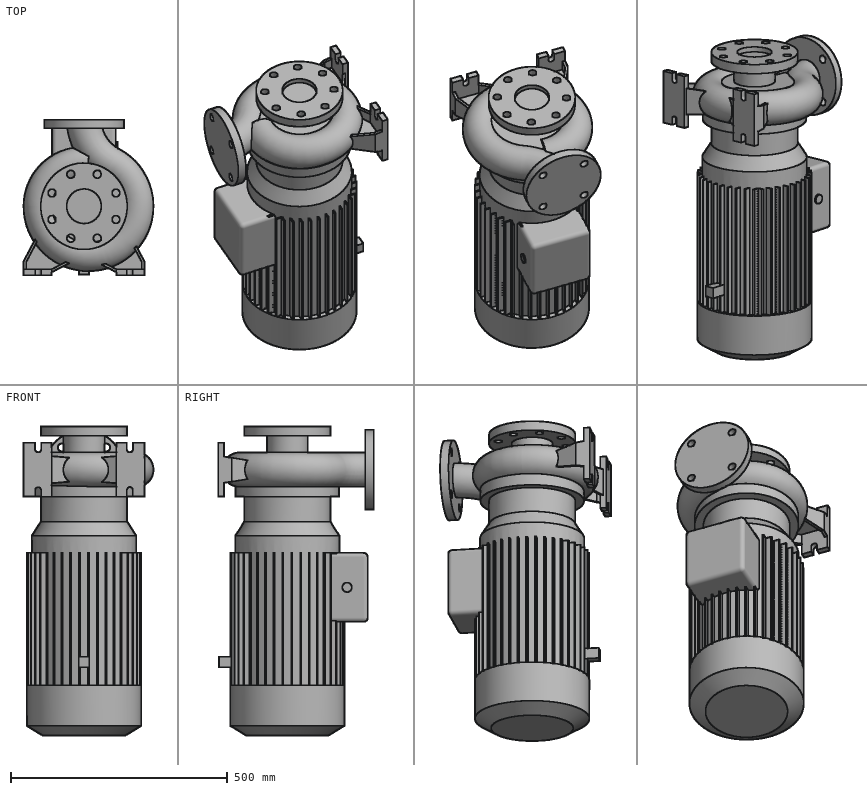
import cadquery as cq
import math


SUCTION_TOP = 100
SUCTION_FLANGE_D = 200
SUCTION_FLANGE_T = 22
SUCTION_BORE_D = 80
SUCTION_BORE_DEPTH = 12
SUCTION_BOLT_CIRCLE_D = 160
SUCTION_BOLTS = 8
SUCTION_NECK_D = 95
BOLT_HOLE_D = 18

DISCHARGE_FACE_Y = 200
DISCHARGE_FLANGE_D = 185
DISCHARGE_FLANGE_T = 20
DISCHARGE_BOLT_CIRCLE_D = 145
DISCHARGE_BOLTS = 4

TUBE_R = 40
COIL_REACH_LEFT = 100
COIL_REACH_RIGHT = 120.87
COIL_R = (COIL_REACH_LEFT + COIL_REACH_RIGHT) / 2
COIL_OFFSET = COIL_REACH_RIGHT - COIL_R
TONGUE_COIL_R = 97
TONGUE_ANGLE = 97

INNER_PLATE_R = 100
BACKPLATE_R = 120
LANTERN_R = 100
MOTOR_CORE_R = 121
FIN_TIP_R = 132.5
COWL_END_R = 95
INNER_PLATE_TOP = 30
BACKPLATE_BOTTOM = -62
LANTERN_BOTTOM = -120
CONE_BOTTOM = -153
FINS_TOP = -192
FINS_BOTTOM = -498
COWL_EDGE = -592
MOTOR_BOTTOM = -615

FINS_PER_GROUP = 10
FIN_GROUPS = 4
FIN_T = 3
FIN_GROUP_ANGLE = 360 / FIN_GROUPS
FIN_PITCH_ANGLE = FIN_GROUP_ANGLE / FINS_PER_GROUP

BOX_WIDTH = 148
BOX_HEIGHT = 160
BOX_FACE_Y = 186
BOX_EDGE_R = 10
GLAND_D = 22
GLAND_LENGTH = 3.5
GLAND_Y = 138

LUG_WIDTH = 24
LUG_HEIGHT = 25
LUG_TOP = -432
LUG_END_Y = -158

FOOT_BASE_Y = -160
FOOT_OUTER_X = 140
FOOT_WIDTH = 65
FOOT_HEIGHT = 125
FOOT_T = 14
SLOT_X = 106
SLOT_WIDTH = 14
SLOT_DEPTH = 22
RIB_T = 7
OUTER_BEND_Y = -128
OUTER_RIB_END = (-95, -42)
INNER_RIB_END = (-12, -120)
INNER_RIB_START_Y = -153
WEB_T = 8
RIB_HALF_HEIGHT = 30.5
RIB_TAPER = 0.163


def cylinder(radius, bottom, top):
    return cq.Workplane("XY").workplane(offset=bottom).circle(radius).extrude(top - bottom)


def bolt_points(circle_d, count):
    """Bolt positions straddling the flange centre lines."""
    step = 360 / count
    angles = [math.radians(step * (i + 0.5)) for i in range(count)]
    return [(circle_d / 2 * math.cos(a), circle_d / 2 * math.sin(a)) for a in angles]


def make_suction():
    flange = cylinder(SUCTION_FLANGE_D / 2, SUCTION_TOP - SUCTION_FLANGE_T, SUCTION_TOP)
    flange = (
        flange.faces(">Z").workplane(origin=(0, 0, SUCTION_TOP))
        .pushPoints(bolt_points(SUCTION_BOLT_CIRCLE_D, SUCTION_BOLTS))
        .hole(BOLT_HOLE_D)
    )
    neck = cylinder(SUCTION_NECK_D / 2, 0, SUCTION_TOP - SUCTION_FLANGE_T)
    bore = cylinder(SUCTION_BORE_D / 2, SUCTION_TOP - SUCTION_BORE_DEPTH, SUCTION_TOP)
    return flange.union(neck).cut(bore)


def make_discharge_flange():
    return (
        cq.Workplane("XZ", origin=(0, DISCHARGE_FACE_Y, 0))
        .circle(DISCHARGE_FLANGE_D / 2)
        .pushPoints(bolt_points(DISCHARGE_BOLT_CIRCLE_D, DISCHARGE_BOLTS))
        .circle(BOLT_HOLE_D / 2)
        .extrude(DISCHARGE_FLANGE_T)
    )


def tube_arc(start_x, y, pivot_x, angle):
    """Round tube starting at (start_x, y) and bent about a vertical axis at (pivot_x, y)."""
    arm = pivot_x - start_x
    return (
        cq.Workplane("XZ", origin=(start_x, y, 0))
        .circle(TUBE_R)
        .revolve(abs(angle), (arm, 0, 0), (arm, math.copysign(1, angle), 0))
    )


def make_volute():
    half_angle = math.atan2(COIL_REACH_RIGHT, DISCHARGE_FACE_Y)
    coil_end = math.degrees(2 * half_angle)
    bend_r = DISCHARGE_FACE_Y / math.sin(2 * half_angle) - COIL_R
    coil_start_x = -COIL_REACH_LEFT

    coil = tube_arc(coil_start_x, 0, COIL_OFFSET, 180 + coil_end)
    bend = tube_arc(0, DISCHARGE_FACE_Y, bend_r, coil_end)
    tongue_x = coil_start_x + TONGUE_COIL_R
    tongue = tube_arc(coil_start_x, 0, tongue_x, -TONGUE_ANGLE)
    return coil.union(bend).union(tongue)


def make_motor():
    profile = [
        (0, INNER_PLATE_TOP),
        (INNER_PLATE_R, INNER_PLATE_TOP),
        (INNER_PLATE_R, 0),
        (BACKPLATE_R, 0),
        (BACKPLATE_R, BACKPLATE_BOTTOM),
        (LANTERN_R, BACKPLATE_BOTTOM),
        (LANTERN_R, LANTERN_BOTTOM),
        (MOTOR_CORE_R, CONE_BOTTOM),
        (MOTOR_CORE_R, FINS_BOTTOM),
        (FIN_TIP_R, FINS_BOTTOM),
        (FIN_TIP_R, COWL_EDGE),
        (COWL_END_R, MOTOR_BOTTOM),
        (0, MOTOR_BOTTOM),
    ]
    return cq.Workplane("XZ").polyline(profile).close().revolve(360, (0, 0, 0), (0, 1, 0))


def make_fins():
    """Fins whose tips are evenly pitched round the motor, parallel within each group."""
    height = FINS_TOP - FINS_BOTTOM
    root_x = MOTOR_CORE_R / 2
    group = cq.Workplane("XY")
    for i in range(FINS_PER_GROUP):
        tip_angle = FIN_PITCH_ANGLE * (i + 0.5) - FIN_GROUP_ANGLE / 2
        y = FIN_TIP_R * math.sin(math.radians(tip_angle))
        fin = (
            cq.Workplane("XY", origin=(root_x, y, FINS_BOTTOM))
            .box(FIN_TIP_R - root_x, FIN_T, height, centered=(False, True, False))
        )
        group = group.union(fin)
    fins = group
    for i in range(1, FIN_GROUPS):
        fins = fins.union(group.rotate((0, 0, 0), (0, 0, 1), i * FIN_GROUP_ANGLE))
    return fins.intersect(cylinder(FIN_TIP_R, FINS_BOTTOM, FINS_TOP))


def make_terminal_box():
    box = (
        cq.Workplane("XY").box(BOX_WIDTH, BOX_FACE_Y, BOX_HEIGHT, centered=(True, False, False))
        .edges("|Y or (>Y and (|X or |Z))").fillet(BOX_EDGE_R)
        .translate((0, 0, FINS_TOP - BOX_HEIGHT))
    )
    gland = (
        cq.Workplane("YZ", origin=(0, GLAND_Y, FINS_TOP - BOX_HEIGHT / 2))
        .circle(GLAND_D / 2).extrude(BOX_WIDTH / 2 + GLAND_LENGTH)
    )
    return box.union(gland)


def make_lug():
    return (
        cq.Workplane("XY", origin=(0, LUG_END_Y, LUG_TOP - LUG_HEIGHT))
        .box(LUG_WIDTH, -LUG_END_Y, LUG_HEIGHT, centered=(True, False, False))
    )


def make_rib(path, shift):
    """Upright rib filling the plan area between a path and its shifted copy.

    Its height shrinks evenly from the foot plate towards the pump axis.
    """
    root_y = FOOT_BASE_Y + FOOT_T
    far_half_height = RIB_HALF_HEIGHT + RIB_TAPER * root_y
    near_half_height = RIB_HALF_HEIGHT - RIB_TAPER * (FOOT_BASE_Y - root_y)
    taper = (
        cq.Workplane("YZ")
        .polyline([
            (FOOT_BASE_Y, -near_half_height),
            (FOOT_BASE_Y, near_half_height),
            (0, far_half_height),
            (0, -far_half_height),
        ])
        .close().extrude(-FOOT_OUTER_X)
    )
    shifted = [(x + shift[0], y + shift[1]) for x, y in reversed(path)]
    rib = cq.Workplane("XY").polyline(path + shifted).close().extrude(RIB_HALF_HEIGHT * 2, both=True)
    return rib.intersect(taper)


def make_foot():
    """Foot on the -X side: slotted plate, two tapered ribs and a web between them."""
    plate_inner_y = FOOT_BASE_Y + FOOT_T
    plate_inner_x = FOOT_WIDTH - FOOT_OUTER_X
    plate = (
        cq.Workplane("XY", origin=(-FOOT_OUTER_X, FOOT_BASE_Y, 0))
        .box(FOOT_WIDTH, FOOT_T, FOOT_HEIGHT, centered=(False, False, True))
    )
    for side in (-1, 1):
        slot = (
            cq.Workplane("XZ", origin=(-SLOT_X, plate_inner_y, side * FOOT_HEIGHT / 2))
            .slot2D(2 * SLOT_DEPTH, SLOT_WIDTH, 90).extrude(FOOT_T)
        )
        plate = plate.cut(slot)

    outer_path = [(-FOOT_OUTER_X, plate_inner_y), (-FOOT_OUTER_X, OUTER_BEND_Y), OUTER_RIB_END]
    inner_path = [INNER_RIB_END, (plate_inner_x, INNER_RIB_START_Y)]
    outer_rib = make_rib(outer_path, (RIB_T, 0))
    inner_rib = make_rib(inner_path, (0, RIB_T))
    web_plan = outer_path + inner_path + [(plate_inner_x, plate_inner_y)]
    web = cq.Workplane("XY").polyline(web_plan).close().extrude(WEB_T / 2, both=True)
    return plate.union(outer_rib).union(inner_rib).union(web)


def make_feet():
    foot = make_foot()
    return foot.union(foot.mirror("YZ"))


result = (
    make_motor()
    .union(make_fins())
    .union(make_terminal_box())
    .union(make_lug())
    .union(make_volute())
    .union(make_suction())
    .union(make_discharge_flange())
    .union(make_feet())
)